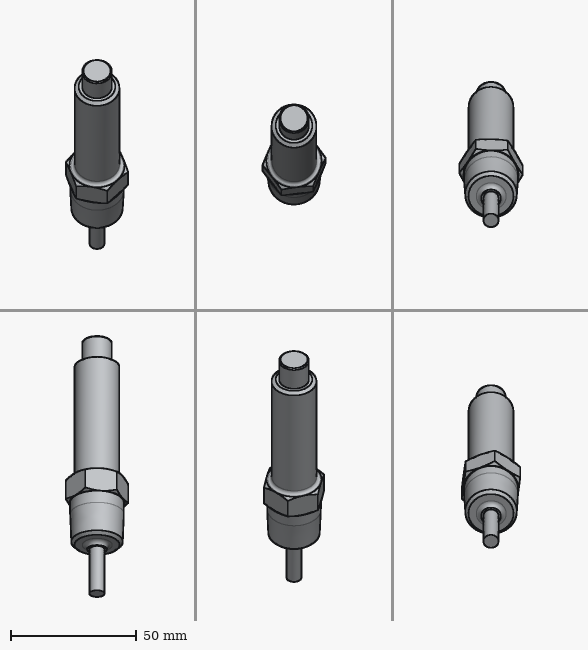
import cadquery as cq
import math

TOTAL_HEIGHT = 112.4
GLAND_BOTTOM = 19.8
THREAD_BOTTOM = 21.8
TAPER_TOP = 35.5
HEX_BOTTOM = 40.6
HEX_HEIGHT = 10.0
TIP_HEIGHT = 10.2
HEX_TOP = HEX_BOTTOM + HEX_HEIGHT
BODY_TOP = TOTAL_HEIGHT - TIP_HEIGHT

CABLE_RADIUS = 3.0
GLAND_RADIUS = 3.9
COLLAR_RADIUS = 10.8
TAPER_END_RADIUS = 10.3
BODY_RADIUS = 9.0
TIP_RADIUS = 6.0

HEX_ACROSS_FLATS = 22.0
HEX_CHAMFER_ANGLE = 30.0
BODY_FILLET = 1.5
SHOULDER_INSET = 1.7
SHOULDER_ANGLE = 30.0
THREAD_CHAMFER = 1.3
TIP_CHAMFER = 0.6


def hexagon_nut():
    """Hexagon with corners on the X axis, its corners trimmed by a cone at both ends."""
    corner_radius = HEX_ACROSS_FLATS / math.sqrt(3)
    flat_radius = HEX_ACROSS_FLATS / 2
    trim_height = (corner_radius - flat_radius) * math.tan(math.radians(HEX_CHAMFER_ANGLE))
    prism = (
        cq.Workplane("XY")
        .workplane(offset=HEX_BOTTOM)
        .polygon(6, 2 * corner_radius)
        .extrude(HEX_HEIGHT)
    )
    envelope = (
        cq.Workplane("XZ")
        .moveTo(0, HEX_BOTTOM)
        .lineTo(flat_radius, HEX_BOTTOM)
        .lineTo(corner_radius, HEX_BOTTOM + trim_height)
        .lineTo(corner_radius, HEX_TOP - trim_height)
        .lineTo(flat_radius, HEX_TOP)
        .lineTo(0, HEX_TOP)
        .close()
        .revolve(360, (0, 0, 0), (0, 1, 0))
    )
    return prism.intersect(envelope)


def turned_profile():
    """All round sections, from cable to sensing tip, as one revolved half outline."""
    gland_fillet = THREAD_BOTTOM - GLAND_BOTTOM
    shoulder_drop = SHOULDER_INSET * math.tan(math.radians(SHOULDER_ANGLE))
    return (
        cq.Workplane("XZ")
        .lineTo(CABLE_RADIUS, 0)
        .lineTo(CABLE_RADIUS, GLAND_BOTTOM)
        .lineTo(GLAND_RADIUS, GLAND_BOTTOM)
        .radiusArc((GLAND_RADIUS + gland_fillet, THREAD_BOTTOM), gland_fillet)
        .lineTo(TAPER_END_RADIUS - THREAD_CHAMFER, THREAD_BOTTOM)
        .lineTo(TAPER_END_RADIUS, THREAD_BOTTOM + THREAD_CHAMFER)
        .lineTo(COLLAR_RADIUS, TAPER_TOP)
        .lineTo(COLLAR_RADIUS, HEX_TOP)
        .lineTo(BODY_RADIUS + BODY_FILLET, HEX_TOP)
        .radiusArc((BODY_RADIUS, HEX_TOP + BODY_FILLET), BODY_FILLET)
        .lineTo(BODY_RADIUS, BODY_TOP - shoulder_drop)
        .lineTo(BODY_RADIUS - SHOULDER_INSET, BODY_TOP)
        .lineTo(TIP_RADIUS, BODY_TOP)
        .lineTo(TIP_RADIUS, TOTAL_HEIGHT - TIP_CHAMFER)
        .lineTo(TIP_RADIUS - TIP_CHAMFER, TOTAL_HEIGHT)
        .lineTo(0, TOTAL_HEIGHT)
        .close()
        .revolve(360, (0, 0, 0), (0, 1, 0))
    )


result = turned_profile().union(hexagon_nut())